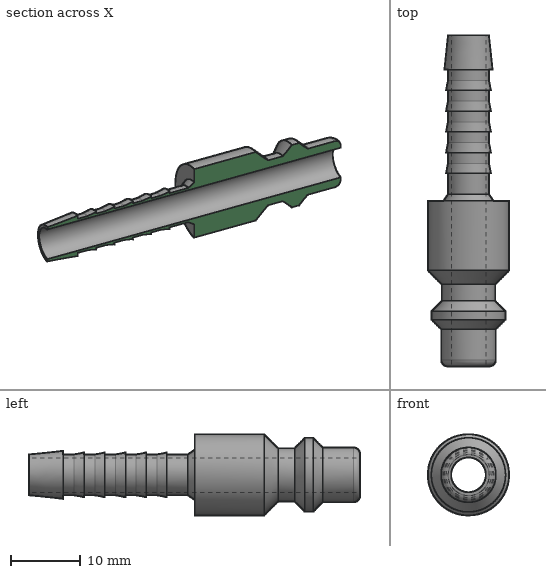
import cadquery as cq

total_length = 48.0
bore_radius = 2.5

nose_radius = 4.0
nose_fillet = 1.0
nose_length = 5.4
collar_radius = 5.4
collar_width = 1.2
groove_radius = 3.9

body_radius = 5.9
body_front = 13.9
body_rear = 24.0
shoulder_radius = 3.65
shoulder_length = 0.95

stem_radius = 3.0
barb_radius = 3.25
barb_count = 5
first_barb = 28.0
last_barb = 40.0
barb_length = 1.5
end_barb_radius = 3.5
end_barb_length = 5.0

collar_front = nose_length + collar_radius - nose_radius
collar_rear = collar_front + collar_width
groove_front = collar_rear + collar_radius - groove_radius
groove_rear = body_front - (body_radius - groove_radius)
barb_pitch = (last_barb - first_barb) / (barb_count - 1)
end_barb_start = total_length - end_barb_length


def turn(profile):
    """Revolve a closed (radius, Y) profile about the Y axis."""
    return profile.close().revolve(360, (0, 0, 0), (0, 1, 0))


def make_barb(start, length, large_radius):
    """Cone with its step facing the body, narrowing to the stem radius."""
    profile = cq.Workplane("XY").polyline([
        (0, start),
        (large_radius, start),
        (stem_radius, start + length),
        (0, start + length),
    ])
    return turn(profile)


def make_core():
    """Nose, collar, body and plain stem as one turned solid."""
    profile = cq.Workplane("XY").polyline([
        (0, 0),
        (nose_radius, 0),
        (nose_radius, nose_length),
        (collar_radius, collar_front),
        (collar_radius, collar_rear),
        (groove_radius, groove_front),
        (groove_radius, groove_rear),
        (body_radius, body_front),
        (body_radius, body_rear),
        (shoulder_radius, body_rear),
        (stem_radius, body_rear + shoulder_length),
        (stem_radius, total_length),
        (0, total_length),
    ])
    return turn(profile).faces("<Y").edges().fillet(nose_fillet)


result = make_core()
for index in range(barb_count):
    barb_start = first_barb + index * barb_pitch
    result = result.union(make_barb(barb_start, barb_length, barb_radius))
result = result.union(make_barb(end_barb_start, end_barb_length, end_barb_radius))

bore = cq.Workplane("XZ").circle(bore_radius).extrude(-total_length)
result = result.cut(bore)